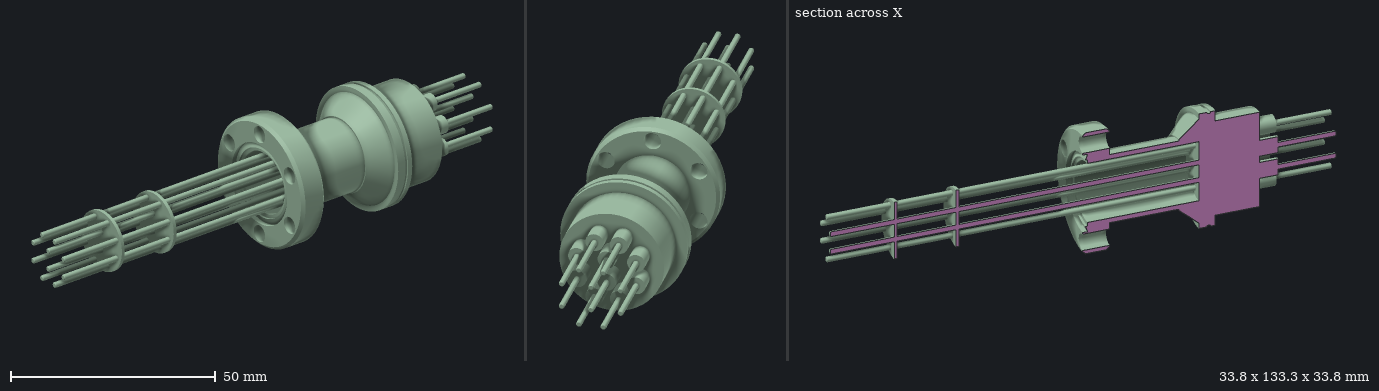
import cadquery as cq
import math


FLANGE_RADIUS = 16.89
FLANGE_THICKNESS = 7.2
FLANGE_CHAMFER = 0.8
BOLT_COUNT = 6
BOLT_CIRCLE_RADIUS = 13.49
BOLT_HOLE_DIAMETER = 4.4

RECESS_RADIUS = 10.7
RECESS_DEPTH = 1.3
KNIFE_EDGE_RADIUS = 9.15
KNIFE_EDGE_DEPTH = 0.7

BORE_RADIUS = 8.15
TUBE_RADIUS = 9.55
CONE_START = 25.4
CONE_START_RADIUS = 9.9
LIP_START = 30.65
CONE_END_RADIUS = 14.5
LIP_RADIUS = 16.0
LIP_THICKNESS = 4.4
LIP_GROOVE_OFFSET = 2.3
LIP_GROOVE_WIDTH = 0.8
LIP_GROOVE_DEPTH = 0.4
HEAD_RADIUS = 13.2
HEAD_END = 46.7

RING_PIN_COUNT = 8
PIN_RADIUS = 0.72
PIN_TIP_CHAMFER = 0.2
TOTAL_LENGTH = 133.35
VACUUM_PIN_LENGTH = 66.5
AIR_PIN_END = TOTAL_LENGTH - VACUUM_PIN_LENGTH
VACUUM_RING_RADIUS = 6.35
AIR_RING_RADIUS = 8.04
PIN_EMBED = 2.0
INSULATOR_RADIUS = 2.28
INSULATOR_LENGTH = 4.9
SPACER_RADIUS = 7.94
SPACER_THICKNESS = 0.9
SPACER_CENTERS = (-32.9, -49.2)


def cylinder(radius, start, end, x=0.0, z=0.0):
    """Cylinder parallel to Y between two Y positions."""
    direction = cq.Vector(0, 1, 0)
    solid = cq.Solid.makeCylinder(radius, end - start, cq.Vector(x, start, z), direction)
    return cq.Workplane(obj=solid)


def pin_positions(ring_radius):
    """(x, z) of the eight ring pins and of the two pins on the Z axis."""
    pitch = 2 * math.pi / RING_PIN_COUNT
    angles = [(i + 0.5) * pitch for i in range(RING_PIN_COUNT)]
    ring = [(ring_radius * math.cos(a), ring_radius * math.sin(a)) for a in angles]
    inner_offset = ring_radius * math.sin(pitch / 2)
    return ring + [(0, inner_offset), (0, -inner_offset)]


def make_body():
    """Flange, tube, cone, grooved lip and head as one turned profile."""
    lip_end = LIP_START + LIP_THICKNESS
    groove_start = LIP_START + LIP_GROOVE_OFFSET
    groove_end = groove_start + LIP_GROOVE_WIDTH
    groove_radius = LIP_RADIUS - LIP_GROOVE_DEPTH
    chamfer_radius = FLANGE_RADIUS - FLANGE_CHAMFER
    profile = [
        (0, LIP_START),
        (BORE_RADIUS, LIP_START),
        (BORE_RADIUS, RECESS_DEPTH),
        (KNIFE_EDGE_RADIUS, RECESS_DEPTH),
        (KNIFE_EDGE_RADIUS, KNIFE_EDGE_DEPTH),
        (RECESS_RADIUS, RECESS_DEPTH),
        (RECESS_RADIUS, 0),
        (chamfer_radius, 0),
        (FLANGE_RADIUS, FLANGE_CHAMFER),
        (FLANGE_RADIUS, FLANGE_THICKNESS - FLANGE_CHAMFER),
        (chamfer_radius, FLANGE_THICKNESS),
        (TUBE_RADIUS, FLANGE_THICKNESS),
        (TUBE_RADIUS, CONE_START),
        (CONE_START_RADIUS, CONE_START),
        (CONE_END_RADIUS, LIP_START),
        (LIP_RADIUS, LIP_START),
        (LIP_RADIUS, groove_start),
        (groove_radius, groove_start),
        (groove_radius, groove_end),
        (LIP_RADIUS, groove_end),
        (LIP_RADIUS, lip_end),
        (HEAD_RADIUS, lip_end),
        (HEAD_RADIUS, HEAD_END),
        (0, HEAD_END),
    ]
    return cq.Workplane("XY").polyline(profile).close().revolve(360, (0, 0), (0, 1))


def cut_bolt_holes(body):
    """Through holes around the flange, the first one at +Z."""
    for i in range(BOLT_COUNT):
        angle = 2 * math.pi * i / BOLT_COUNT
        x = BOLT_CIRCLE_RADIUS * math.sin(angle)
        z = BOLT_CIRCLE_RADIUS * math.cos(angle)
        body = body.cut(cylinder(BOLT_HOLE_DIAMETER / 2, 0, FLANGE_THICKNESS, x, z))
    return body


def add_vacuum_pins(body):
    """Long pins through the bore, rooted in the closed end of the bore."""
    for x, z in pin_positions(VACUUM_RING_RADIUS):
        pin = cylinder(PIN_RADIUS, -VACUUM_PIN_LENGTH, LIP_START + PIN_EMBED, x, z)
        body = body.union(pin.faces("<Y").chamfer(PIN_TIP_CHAMFER))
    return body


def add_spacers(body):
    """Thin discs that hold the long pins apart."""
    half = SPACER_THICKNESS / 2
    for center in SPACER_CENTERS:
        body = body.union(cylinder(SPACER_RADIUS, center - half, center + half))
    return body


def add_air_pins(body):
    """Insulators on the head, each with a short pin."""
    insulator_end = HEAD_END + INSULATOR_LENGTH
    for x, z in pin_positions(AIR_RING_RADIUS):
        insulator = cylinder(INSULATOR_RADIUS, HEAD_END - PIN_EMBED, insulator_end, x, z)
        pin = cylinder(PIN_RADIUS, HEAD_END, AIR_PIN_END, x, z)
        body = body.union(insulator).union(pin.faces(">Y").chamfer(PIN_TIP_CHAMFER))
    return body


body = cut_bolt_holes(make_body())
body = add_vacuum_pins(body)
body = add_spacers(body)
result = add_air_pins(body)